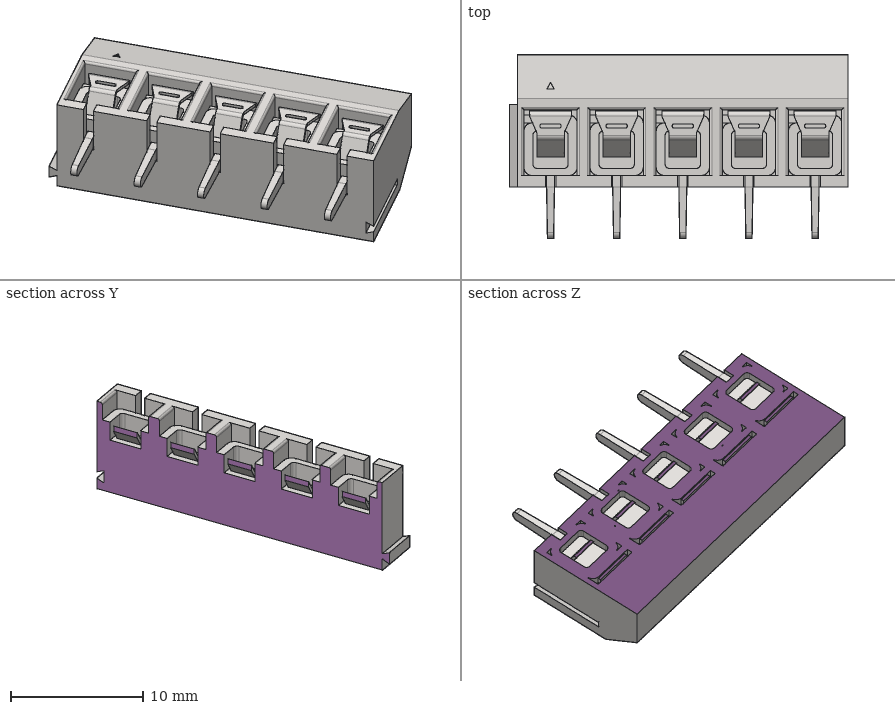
import cadquery as cq
import math

pole_count = 5
overall_length = 25.6
tongue_depth = 0.61
housing_length = overall_length - tongue_depth
pitch = housing_length / pole_count
housing_depth = 10.0
housing_height = 7.6
top_bevel_depth = 3.33
top_bevel_drop = 0.77
bottom_bevel_depth = 3.05
bottom_bevel_rise = 1.87

dovetail_run = 6.25
dovetail_center_z = 1.2
dovetail_tip_width = 1.02
dovetail_neck_width = 0.5

pocket_width = 4.02
pocket_front = 0.87
pocket_rear = 5.84
pocket_floor = 4.55
lip_radius = 0.18

frame_top = 6.12
frame_rear = 5.43
frame_corner_radius = 0.61
frame_step_width = 0.9
frame_step_front = 4.85
frame_step_drop = 0.25
window_width = 2.65
window_front = 1.4
window_rear = 4.22
window_corner_radius = 0.3

leaf_thickness = 0.25
leaf_top = 6.89
leaf_rear = 5.73
leaf_bend_radius = 0.38
leaf_plate_front = 3.9
leaf_slope = math.radians(59)
leaf_wide = 3.17
leaf_narrow = 2.07
leaf_taper_front = 4.1
leaf_slot_length = 1.6
leaf_slot_width = 0.3
leaf_slot_y = 4.6

pin_length = 3.9
pin_center_z = 4.48
pin_root_width = 0.61
pin_tip_width = 0.49
pin_root_height = 1.02
pin_tip_height = 0.87
slit_width = 0.8

mark_width = 0.55
mark_front = 7.4
mark_height = 0.5
mark_engraving = 0.1


def box(x_range, y_range, z_range):
    """Axis-aligned box between the given limits."""
    (x0, x1), (y0, y1), (z0, z1) = x_range, y_range, z_range
    return cq.Workplane("XY").box(x1 - x0, y1 - y0, z1 - z0, centered=False).translate((x0, y0, z0))


def centered_box(width, y_range, z_range):
    """Box symmetric about X = 0."""
    return box((-width / 2, width / 2), y_range, z_range)


def make_housing():
    profile = [
        (0, 0),
        (housing_depth - bottom_bevel_depth, 0),
        (housing_depth, bottom_bevel_rise),
        (housing_depth, housing_height - top_bevel_drop),
        (housing_depth - top_bevel_depth, housing_height),
        (0, housing_height),
    ]
    return cq.Workplane("YZ").polyline(profile).close().extrude(housing_length)


def make_dovetail(neck_x):
    """Dovetail bar whose neck lies at neck_x and which widens toward -X."""
    tip_x = neck_x - tongue_depth
    profile = [
        (neck_x, dovetail_center_z - dovetail_neck_width / 2),
        (neck_x, dovetail_center_z + dovetail_neck_width / 2),
        (tip_x, dovetail_center_z + dovetail_tip_width / 2),
        (tip_x, dovetail_center_z - dovetail_tip_width / 2),
    ]
    return cq.Workplane("XZ").polyline(profile).close().extrude(-dovetail_run)


def make_pocket():
    """Pocket void: the overlap of a flared cross-section and a flared long section."""
    half = pocket_width / 2
    lip_start = housing_height - lip_radius
    lip_mid_out = lip_radius * (1 - math.sqrt(0.5))
    lip_mid_up = lip_radius * math.sqrt(0.5)
    across = (
        cq.Workplane("XZ")
        .moveTo(-half, pocket_floor)
        .lineTo(half, pocket_floor)
        .lineTo(half, lip_start)
        .threePointArc((half + lip_mid_out, lip_start + lip_mid_up), (half + lip_radius, housing_height))
        .lineTo(-half - lip_radius, housing_height)
        .threePointArc((-half - lip_mid_out, lip_start + lip_mid_up), (-half, lip_start))
        .close()
        .extrude(-housing_depth)
    )
    along = (
        cq.Workplane("YZ")
        .moveTo(pocket_front, pocket_floor)
        .lineTo(pocket_rear, pocket_floor)
        .lineTo(pocket_rear, lip_start)
        .threePointArc(
            (pocket_rear + lip_mid_out, lip_start + lip_mid_up),
            (pocket_rear + lip_radius, housing_height),
        )
        .lineTo(pocket_front, housing_height)
        .close()
        .extrude(pitch / 2, both=True)
    )
    return across.intersect(along)


def make_slit():
    slit_floor = pin_center_z - pin_root_height / 2
    return centered_box(slit_width, (0, pocket_front), (slit_floor, housing_height))


def make_frame():
    """Contact frame with rounded corners, a window and a low step at its left rear corner."""
    step_x = (-pocket_width / 2, frame_step_width - pocket_width / 2)
    step_y = (frame_step_front, frame_rear)
    notch = box(step_x, step_y, (pocket_floor, frame_top))
    step = box(step_x, step_y, (pocket_floor, frame_top - frame_step_drop))
    frame = centered_box(pocket_width, (pocket_front, frame_rear), (pocket_floor, frame_top)).cut(notch)
    frame = frame.edges("|Z and (<X or >X)").fillet(frame_corner_radius)
    window = centered_box(window_width, (window_front, window_rear), (pocket_floor, frame_top))
    window = window.edges("|Z").fillet(window_corner_radius)
    return frame.cut(window).union(step)


def make_leaf():
    """Leaf: its bent side profile trimmed to a plan outline that narrows toward the front."""
    bend_y = leaf_plate_front
    bend_z = leaf_top - leaf_bend_radius
    inner_radius = leaf_bend_radius - leaf_thickness
    rear_bend_y = leaf_rear - leaf_bend_radius
    slope_sin = math.sin(leaf_slope)
    slope_cos = math.cos(leaf_slope)

    def front_bend(radius, angle):
        return (bend_y - radius * math.sin(angle), bend_z + radius * math.cos(angle))

    def rear_bend(radius):
        return (rear_bend_y + radius * math.sqrt(0.5), bend_z + radius * math.sqrt(0.5))

    def tongue_end(radius):
        start_y, start_z = front_bend(radius, leaf_slope)
        return (start_y - (start_z - pocket_floor) * slope_cos / slope_sin, pocket_floor)

    bent_sheet = (
        cq.Workplane("YZ")
        .moveTo(leaf_rear, pocket_floor)
        .lineTo(leaf_rear, bend_z)
        .threePointArc(rear_bend(leaf_bend_radius), (rear_bend_y, leaf_top))
        .lineTo(bend_y, leaf_top)
        .threePointArc(front_bend(leaf_bend_radius, leaf_slope / 2), front_bend(leaf_bend_radius, leaf_slope))
        .lineTo(*tongue_end(leaf_bend_radius))
        .lineTo(*tongue_end(inner_radius))
        .lineTo(*front_bend(inner_radius, leaf_slope))
        .threePointArc(front_bend(inner_radius, leaf_slope / 2), front_bend(inner_radius, 0))
        .lineTo(rear_bend_y, leaf_top - leaf_thickness)
        .threePointArc(rear_bend(inner_radius), (leaf_rear - leaf_thickness, bend_z))
        .lineTo(leaf_rear - leaf_thickness, pocket_floor)
        .close()
        .extrude(leaf_wide / 2, both=True)
    )
    plan_half = [
        (0, leaf_rear),
        (leaf_wide / 2, leaf_rear),
        (leaf_wide / 2, rear_bend_y),
        (leaf_narrow / 2, leaf_taper_front),
        (leaf_narrow / 2, pocket_front),
        (0, pocket_front),
    ]
    plan = cq.Workplane("XY").polyline(plan_half).mirrorY().extrude(housing_height)
    slot = (
        cq.Workplane("XY", origin=(0, leaf_slot_y, leaf_top))
        .slot2D(leaf_slot_length, leaf_slot_width)
        .extrude(-leaf_thickness)
    )
    return bent_sheet.intersect(plan).cut(slot)


def make_pin():
    """Pin tapering in width and height from the front wall to a rounded end."""
    root = pin_root_height / 2
    tip = pin_tip_height / 2
    tip_start = tip - pin_length
    side = (
        cq.Workplane("YZ")
        .moveTo(pocket_front, pin_center_z - root)
        .lineTo(0, pin_center_z - root)
        .lineTo(tip_start, pin_center_z - tip)
        .threePointArc((-pin_length, pin_center_z), (tip_start, pin_center_z + tip))
        .lineTo(0, pin_center_z + root)
        .lineTo(pocket_front, pin_center_z + root)
        .close()
        .extrude(pin_root_width, both=True)
    )
    plan_half = [
        (0, pocket_front),
        (pin_root_width / 2, pocket_front),
        (pin_root_width / 2, 0),
        (pin_tip_width / 2, -pin_length),
        (0, -pin_length),
    ]
    plan = cq.Workplane("XY").polyline(plan_half).mirrorY().extrude(housing_height)
    return side.intersect(plan)


def make_mark(housing, center_x):
    """Triangular prism reaching a constant depth below the sloping top."""
    triangle = [
        (center_x - mark_width / 2, mark_front),
        (center_x + mark_width / 2, mark_front),
        (center_x, mark_front + mark_height),
    ]
    prism = cq.Workplane("XY").polyline(triangle).close().extrude(housing_height)
    return prism.cut(housing.translate((0, 0, -mark_engraving))).intersect(housing)


pole_centers = [(index + 0.5) * pitch for index in range(pole_count)]

housing = make_housing()
mark = make_mark(housing, pole_centers[0])
result = housing.cut(mark).union(make_dovetail(0)).cut(make_dovetail(housing_length))

pole_void = make_pocket().union(make_slit())
pole_metal = make_frame().union(make_leaf()).union(make_pin())
for center_x in pole_centers:
    result = result.cut(pole_void.translate((center_x, 0, 0)))
    result = result.union(pole_metal.translate((center_x, 0, 0)))